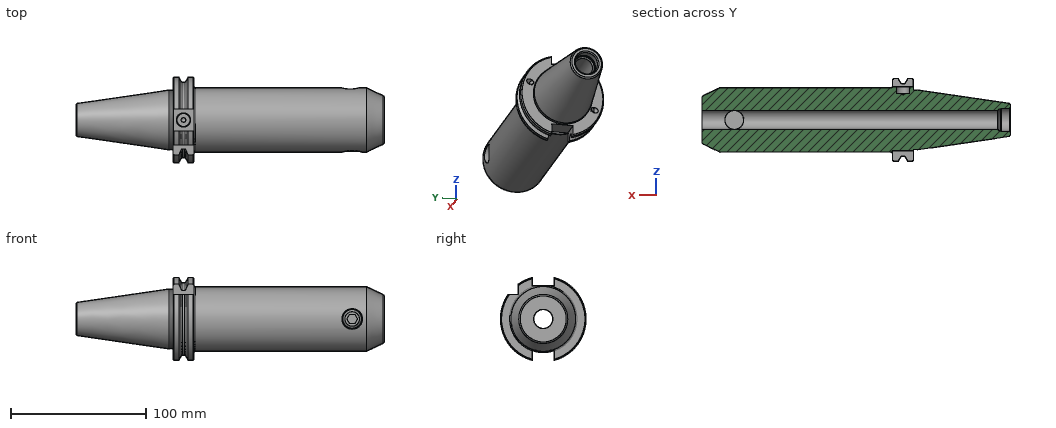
import cadquery as cq
import math

TOTAL_LENGTH = 228.5

TAPER_LENGTH = 69.0
TAPER_SMALL_DIA = 24.5
TAPER_LARGE_DIA = 44.5
TAPER_END_CHAMFER = 1.0
TAPER_GAP = 2.7
UNDERCUT_DEPTH = 0.2
UNDERCUT_RAMP = 1.0

FLANGE_DIA = 63.5
FLANGE_WIDTH = 15.8
FLANGE_CHAMFER = 1.0
BODY_FILLET = 1.0
GROOVE_ROOT_DIA = 56.2
GROOVE_ROOT_WIDTH = 2.7
GROOVE_ROOT_FILLET = 1.1
GROOVE_ANGLE = 60.0

SLOT_WIDTH = 16.2
TOP_SLOT_FLOOR = 24.7
BOTTOM_SLOT_FLOOR = 22.8
NOTCH_WALL = 18.5
NOTCH_FLOOR = 18.3

RECESS_DIA = 9.5
RECESS_CHAMFER = 0.5
RECESS_DEPTH = 5.0
SLOT_RIM_CHAMFER = 0.5
DIMPLE_DIA = 3.5
DRILL_POINT_ANGLE = 118.0

COOLANT_DIA = 3.9
COOLANT_RADIUS = 26.3
COOLANT_DEPTH = 2.0
COOLANT_TURN = 20.0
COOLANT_SLANT = 45.0

BODY_DIA = 48.0
NOSE_LENGTH = 13.5
NOSE_DIA = 36.3
NOSE_CHAMFER = 1.1

BORE_DIA = 14.0
COUNTERBORE_DIA = 17.0
COUNTERBORE_DEPTH = 6.9
COUNTERBORE_CHAMFER = 1.0
STEP_DIA = 16.0
STEP_LENGTH = 1.4

SCREW_X = 204.5
SCREW_DIA = 14.0
SCREW_CHAMFER = 1.5
SCREW_TOP = 23.3
SCREW_TIP = BORE_DIA / 2
SOCKET_SIDES = 6
SOCKET_FLATS = 6.9
SOCKET_DEPTH = 5.0
HOLE_CHAMFER = 0.7

BALANCE_X = 203.0
BALANCE_DIA = 13.7
BALANCE_DEPTH = 6.9

FLANGE_FRONT = TAPER_LENGTH + TAPER_GAP
FLANGE_BACK = FLANGE_FRONT + FLANGE_WIDTH
FLANGE_MIDDLE = FLANGE_FRONT + FLANGE_WIDTH / 2


def cylinder(dia, start, end):
    axis = cq.Vector(*end) - cq.Vector(*start)
    return cq.Workplane(cq.Solid.makeCylinder(dia / 2, axis.Length, cq.Vector(*start), axis))


def turned_blank():
    flange_r = FLANGE_DIA / 2
    body_r = BODY_DIA / 2
    undercut_r = TAPER_LARGE_DIA / 2 - UNDERCUT_DEPTH
    slope = (TAPER_LARGE_DIA - TAPER_SMALL_DIA) / 2 / TAPER_LENGTH
    shank_and_flange = [
        (0, 0),
        (0, TAPER_SMALL_DIA / 2 - TAPER_END_CHAMFER),
        (TAPER_END_CHAMFER, TAPER_SMALL_DIA / 2 + TAPER_END_CHAMFER * slope),
        (TAPER_LENGTH, TAPER_LARGE_DIA / 2),
        (TAPER_LENGTH + UNDERCUT_RAMP, undercut_r),
        (FLANGE_FRONT - UNDERCUT_RAMP, undercut_r),
        (FLANGE_FRONT, TAPER_LARGE_DIA / 2),
        (FLANGE_FRONT, flange_r - FLANGE_CHAMFER),
        (FLANGE_FRONT + FLANGE_CHAMFER, flange_r),
        (FLANGE_BACK - FLANGE_CHAMFER, flange_r),
        (FLANGE_BACK, flange_r - FLANGE_CHAMFER),
        (FLANGE_BACK, body_r + BODY_FILLET),
    ]
    body_and_nose = [
        (TOTAL_LENGTH - NOSE_LENGTH, body_r),
        (TOTAL_LENGTH - NOSE_CHAMFER, NOSE_DIA / 2),
        (TOTAL_LENGTH, NOSE_DIA / 2 - NOSE_CHAMFER),
        (TOTAL_LENGTH, 0),
    ]
    outline = (
        cq.Workplane("XZ")
        .polyline(shank_and_flange)
        .radiusArc((FLANGE_BACK + BODY_FILLET, body_r), -BODY_FILLET)
        .polyline(body_and_nose, includeCurrent=True)
        .close()
    )
    return outline.revolve(360, (0, 0, 0), (1, 0, 0))


def v_groove():
    root_r = GROOVE_ROOT_DIA / 2
    half_root = GROOVE_ROOT_WIDTH / 2
    depth = (FLANGE_DIA - GROOVE_ROOT_DIA) / 2
    half_mouth = half_root + depth * math.tan(math.radians(GROOVE_ANGLE / 2))
    section = (
        cq.Sketch()
        .polygon([
            (FLANGE_MIDDLE - half_mouth, root_r + depth),
            (FLANGE_MIDDLE - half_root, root_r),
            (FLANGE_MIDDLE + half_root, root_r),
            (FLANGE_MIDDLE + half_mouth, root_r + depth),
            (FLANGE_MIDDLE - half_mouth, root_r + depth),
        ])
        .vertices("<Y")
        .fillet(GROOVE_ROOT_FILLET)
    )
    return cq.Workplane("XZ").placeSketch(section).revolve(360, (0, 0, 0), (1, 0, 0))


def axial_bore():
    mouth_r = COUNTERBORE_DIA / 2 + COUNTERBORE_CHAMFER
    step_start = COUNTERBORE_DEPTH + (COUNTERBORE_DIA - STEP_DIA) / 2
    step_end = step_start + STEP_LENGTH
    outline = [
        (0, 0),
        (0, mouth_r),
        (COUNTERBORE_CHAMFER, COUNTERBORE_DIA / 2),
        (COUNTERBORE_DEPTH, COUNTERBORE_DIA / 2),
        (step_start, STEP_DIA / 2),
        (step_end, STEP_DIA / 2),
        (step_end + (STEP_DIA - BORE_DIA) / 2, BORE_DIA / 2),
        (TOTAL_LENGTH, BORE_DIA / 2),
        (TOTAL_LENGTH, 0),
    ]
    return cq.Workplane("XZ").polyline(outline).close().revolve(360, (0, 0, 0), (1, 0, 0))


def flange_block(y_low, y_high, z_low, z_high):
    return cq.Workplane("XY").box(
        FLANGE_WIDTH, y_high - y_low, z_high - z_low, centered=False
    ).translate((FLANGE_FRONT, y_low, z_low))


def drive_slots():
    half = SLOT_WIDTH / 2
    top = flange_block(-half, half, TOP_SLOT_FLOOR, FLANGE_DIA)
    bottom = flange_block(-half, half, -FLANGE_DIA, -BOTTOM_SLOT_FLOOR)
    return top.union(bottom)


def top_slot_rim():
    rim_width = SLOT_WIDTH + 2 * SLOT_RIM_CHAMFER
    rim_floor = TOP_SLOT_FLOOR - SLOT_RIM_CHAMFER
    rim_height = 2 * (FLANGE_DIA / 2 - rim_floor)
    return (
        cq.Workplane("YZ", origin=(FLANGE_FRONT, 0, rim_floor + rim_height / 2))
        .rect(rim_width, rim_height)
        .extrude(SLOT_RIM_CHAMFER, taper=45)
    )


def corner_notch():
    return flange_block(-FLANGE_DIA, -NOTCH_WALL, NOTCH_FLOOR, FLANGE_DIA)


def cone_down(top_r, bottom_r, depth, top_z):
    top = cq.Vector(FLANGE_MIDDLE, 0, top_z)
    return cq.Workplane(cq.Solid.makeCone(top_r, bottom_r, depth, top, cq.Vector(0, 0, -1)))


def slot_recess():
    floor = TOP_SLOT_FLOOR - RECESS_DEPTH
    recess = cylinder(RECESS_DIA, (FLANGE_MIDDLE, 0, floor), (FLANGE_MIDDLE, 0, TOP_SLOT_FLOOR))
    dimple_depth = DIMPLE_DIA / 2 / math.tan(math.radians(DRILL_POINT_ANGLE / 2))
    recess_r = RECESS_DIA / 2
    countersink = cone_down(recess_r + RECESS_CHAMFER, recess_r, RECESS_CHAMFER, TOP_SLOT_FLOOR)
    dimple = cone_down(DIMPLE_DIA / 2, 0, dimple_depth, floor)
    return recess.union(dimple).union(countersink)


def coolant_hole(turn):
    slant = math.radians(COOLANT_SLANT)

    def point_at(depth):
        return (FLANGE_FRONT + depth * math.cos(slant), COOLANT_RADIUS - depth * math.sin(slant), 0)

    lead_in = COOLANT_DIA
    hole = cylinder(COOLANT_DIA, point_at(COOLANT_DEPTH), point_at(-lead_in))
    return hole.rotate((0, 0, 0), (1, 0, 0), turn)


def cut_screw_hole(holder):
    surface = BODY_DIA / 2
    hole = cylinder(SCREW_DIA, (SCREW_X, 0, 0), (SCREW_X, -surface, 0))
    mouth = cq.selectors.BoxSelector(
        (SCREW_X - SCREW_DIA, -BODY_DIA, -SCREW_DIA),
        (SCREW_X + SCREW_DIA, -SCREW_TIP - SCREW_DIA / 2, SCREW_DIA),
    )
    return holder.cut(hole).edges(mouth).chamfer(HOLE_CHAMFER)


def balance_hole():
    surface = BODY_DIA / 2
    return cylinder(BALANCE_DIA, (BALANCE_X, surface - BALANCE_DEPTH, 0), (BALANCE_X, surface, 0))


def make_holder():
    holder = turned_blank().cut(v_groove()).cut(axial_bore())
    holder = cut_screw_hole(holder).cut(balance_hole())
    holder = holder.cut(drive_slots()).cut(top_slot_rim()).cut(corner_notch()).cut(slot_recess())
    for turn in (COOLANT_TURN, COOLANT_TURN + 180):
        holder = holder.cut(coolant_hole(turn))
    return holder


def make_clamping_screw():
    screw = cylinder(SCREW_DIA, (SCREW_X, -SCREW_TIP, 0), (SCREW_X, -SCREW_TOP, 0))
    screw = screw.faces("<Y").chamfer(SCREW_CHAMFER)
    socket = (
        cq.Workplane("XZ", origin=(SCREW_X, -SCREW_TOP + SOCKET_DEPTH, 0))
        .polygon(SOCKET_SIDES, SOCKET_FLATS / math.cos(math.pi / SOCKET_SIDES))
        .extrude(SOCKET_DEPTH)
    )
    return screw.cut(socket)


holder = make_holder()
clamping_screw = make_clamping_screw()

result = cq.Compound.makeCompound([holder.val(), clamping_screw.val()])